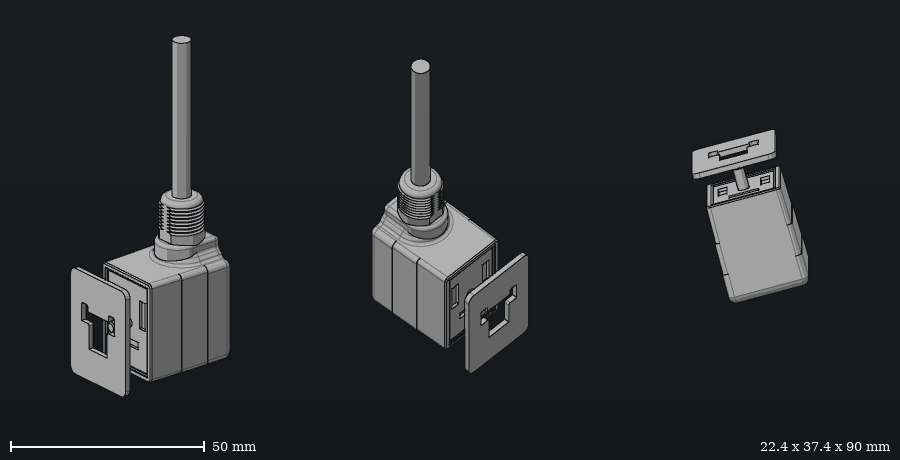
import cadquery as cq

PLATE_WIDTH = 22.4
PLATE_HEIGHT = 30.0
PLATE_FRONT_Y = -28.0
PLATE_THICKNESS = 1.5
PLATE_CORNER_RADIUS = 2.0
WINDOW_HALF_WIDTH = 6.7
WINDOW_ARM_INNER_X = 4.2
WINDOW_STEM_HALF_WIDTH = 3.7
WINDOW_BOTTOM_Z = 9.0
WINDOW_SHOULDER_Z = 16.1
WINDOW_BRIDGE_Z = 19.35
WINDOW_TOP_Z = 21.2
WINDOW_CORNER_RADIUS = 0.5

HOUSING_BOTTOM_Z = 1.1
HOUSING_HEIGHT = 28.0
HOUSING_TOP_Z = HOUSING_BOTTOM_Z + HOUSING_HEIGHT
HOUSING_MIDDLE_Z = HOUSING_BOTTOM_Z + HOUSING_HEIGHT / 2
HOUSING_BACK_Y = 8.5
HOUSING_FRONT_Y = -18.5
SECTION_STEP_Y = -8.5
FRONT_HALF_WIDTH = 10.0
BACK_SECTION = (HOUSING_BACK_Y, 0, 10.8, 10.7, 1.7)
MIDDLE_SECTION = (0, SECTION_STEP_Y, 10.5, 10.4, 1.35)
FRONT_SECTION = (SECTION_STEP_Y, HOUSING_FRONT_Y, 10.2, FRONT_HALF_WIDTH, 1.2)
FRONT_CHAMFER = 0.4
BACK_RADIUS = 2.2

RECESS_MARGIN = 1.35
RECESS_STEP_DEPTH = 0.4
RECESS_LEDGE = 0.5
FLOOR_Y = HOUSING_FRONT_Y + 2 * RECESS_STEP_DEPTH
SLOT_DEPTH = 0.8
SIDE_SLOT_INNER_X = 4.5
SIDE_SLOT_WIDTH = 2.3
SIDE_SLOT_BOTTOM_Z = 14.8
SIDE_SLOT_HEIGHT = 7.8
EARTH_SLOT_WIDTH = 7.9
EARTH_SLOT_BOTTOM_Z = 8.55
EARTH_SLOT_HEIGHT = 2.1

BOSS_TOP_Z = 34.4
BOSS_RADIUS = 6.1
BOSS_CENTRE_Y = -1.3
BOSS_TOP_RADIUS = 1.0
FLARE_WALL_Z = BOSS_TOP_Z - BACK_RADIUS
FLARE_TOP_Z = 31.9
FLARE_MIDDLE_RADIUS = 6.7
FLARE_MIDDLE_Z = 30.8
FLARE_LOWER_RADIUS = 7.5
FLARE_LOWER_Z = 29.7
FLARE_FOOT_RADIUS = 8.4

GLAND_TOP_Z = 46.0
GLAND_TOP_RADIUS = 1.4
THREAD_CREST_RADIUS = 6.0
THREAD_ROOT_RADIUS = 5.6
THREAD_START_Z = 37.0
THREAD_PITCH = 1.0
THREAD_TURNS = 7
GLAND_FLATS = 11.1
CABLE_DIAMETER = 5.0
CABLE_TOP_Z = 90.0

SCREW_Z = 15.1
SCREW_DIAMETER = 3.0
SCREW_TIP_Y = -23.8
SCREW_TIP_CHAMFER = 0.4
HEAD_DIAMETER = 5.5
HEAD_FLAT_DIAMETER = 2.7
HEAD_TOP_Y = 9.4
HEAD_DOME_BULGE = 0.1
HEAD_SLOT_WIDTH = 0.8
HEAD_SLOT_DEPTH = 0.7


def box_between(x0, x1, y0, y1, z0, z1):
    """Box given by its limits along each axis."""
    return cq.Workplane("XY").box(x1 - x0, y1 - y0, z1 - z0, centered=False).translate((x0, y0, z0))


def make_plate():
    """Thin rounded plate with a T-shaped window whose bar has two upturned arms."""
    plate = (
        cq.Workplane("XY")
        .box(PLATE_WIDTH, PLATE_THICKNESS, PLATE_HEIGHT, centered=(True, False, False))
        .translate((0, PLATE_FRONT_Y, 0))
        .edges("|Y")
        .fillet(PLATE_CORNER_RADIUS)
    )
    right_half = [
        (WINDOW_STEM_HALF_WIDTH, WINDOW_BOTTOM_Z),
        (WINDOW_STEM_HALF_WIDTH, WINDOW_SHOULDER_Z),
        (WINDOW_HALF_WIDTH, WINDOW_SHOULDER_Z),
        (WINDOW_HALF_WIDTH, WINDOW_TOP_Z),
        (WINDOW_ARM_INNER_X, WINDOW_TOP_Z),
        (WINDOW_ARM_INNER_X, WINDOW_BRIDGE_Z),
    ]
    left_half = [(-x, z) for x, z in reversed(right_half)]
    window = (
        cq.Workplane("XZ", origin=(0, PLATE_FRONT_Y, 0))
        .polyline(right_half + left_half)
        .close()
        .extrude(-PLATE_THICKNESS)
    )
    window = window.faces(">Z").edges("|Y").fillet(WINDOW_CORNER_RADIUS)
    for side in (-1, 1):
        shoulder_corner = cq.selectors.NearestToPointSelector(
            (side * WINDOW_STEM_HALF_WIDTH, PLATE_FRONT_Y + PLATE_THICKNESS / 2, WINDOW_SHOULDER_Z)
        )
        window = window.edges("|Y").edges(shoulder_corner).fillet(WINDOW_CORNER_RADIUS)
    return plate.cut(window)


def housing_section(back_y, front_y, back_half_width, front_half_width, edge_radius):
    """Rounded block that narrows a little from its back to its front."""

    def outline(half_width):
        return cq.Sketch().rect(2 * half_width, HOUSING_HEIGHT).vertices().fillet(edge_radius)

    return (
        cq.Workplane("XZ", origin=(0, back_y, HOUSING_MIDDLE_Z))
        .placeSketch(
            outline(back_half_width),
            outline(front_half_width).moved(cq.Location(cq.Vector(0, 0, back_y - front_y))),
        )
        .loft(ruled=True)
    )


def make_boss():
    """U-shaped cable boss: round at the front, running straight to the back face."""
    outline = (
        cq.Workplane("XY", origin=(0, 0, HOUSING_MIDDLE_Z))
        .moveTo(-BOSS_RADIUS, HOUSING_BACK_Y)
        .lineTo(-BOSS_RADIUS, BOSS_CENTRE_Y)
        .threePointArc((0, BOSS_CENTRE_Y - BOSS_RADIUS), (BOSS_RADIUS, BOSS_CENTRE_Y))
        .lineTo(BOSS_RADIUS, HOUSING_BACK_Y)
        .close()
    )
    boss = outline.extrude(BOSS_TOP_Z - HOUSING_MIDDLE_Z)
    boss = boss.faces(">Y").edges("|Z or >Z").fillet(BACK_RADIUS)
    return boss.faces(">Z").edges().fillet(BOSS_TOP_RADIUS)


def flare_half_profile():
    """Right half of the foot: tangent concave, convex and concave arcs from boss to housing."""
    return (
        cq.Workplane("XZ")
        .moveTo(0, FLARE_WALL_Z)
        .lineTo(BOSS_RADIUS, FLARE_WALL_Z)
        .lineTo(BOSS_RADIUS, FLARE_TOP_Z)
        .tangentArcPoint((FLARE_MIDDLE_RADIUS, FLARE_MIDDLE_Z), relative=False)
        .tangentArcPoint((FLARE_LOWER_RADIUS, FLARE_LOWER_Z), relative=False)
        .tangentArcPoint((FLARE_FOOT_RADIUS, HOUSING_TOP_Z), relative=False)
        .lineTo(FLARE_FOOT_RADIUS, HOUSING_MIDDLE_Z)
        .lineTo(0, HOUSING_MIDDLE_Z)
        .close()
    )


def make_flare():
    """Foot of the boss: half a turn at the front, straight to the back face."""
    right_side = flare_half_profile().extrude(-HOUSING_BACK_Y)
    right_side = right_side.faces(">Y").edges("not(<X or >X or <Z or >Z)").fillet(BACK_RADIUS)
    turned = flare_half_profile().revolve(360, (0, 0, 0), (0, 1, 0))
    front_half = box_between(
        -FLARE_FOOT_RADIUS, FLARE_FOOT_RADIUS, -FLARE_FOOT_RADIUS, 0, HOUSING_BOTTOM_Z, BOSS_TOP_Z
    )
    return right_side.union(right_side.mirror("YZ")).union(turned.intersect(front_half))


def make_gland():
    """Gland with V-shaped thread grooves, a rounded top and two flats, carrying the cable."""
    profile = [
        (0, HOUSING_MIDDLE_Z),
        (THREAD_CREST_RADIUS, HOUSING_MIDDLE_Z),
        (THREAD_CREST_RADIUS, THREAD_START_Z),
    ]
    for turn in range(THREAD_TURNS):
        groove_z = THREAD_START_Z + (turn + 0.5) * THREAD_PITCH
        profile.append((THREAD_ROOT_RADIUS, groove_z))
        profile.append((THREAD_CREST_RADIUS, groove_z + THREAD_PITCH / 2))
    thread_end_z = THREAD_START_Z + (THREAD_TURNS + 0.5) * THREAD_PITCH
    profile += [(THREAD_ROOT_RADIUS, thread_end_z), (THREAD_ROOT_RADIUS, GLAND_TOP_Z), (0, GLAND_TOP_Z)]
    gland = cq.Workplane("XZ").polyline(profile).close().revolve(360, (0, 0, 0), (0, 1, 0))
    gland = gland.faces(">Z").edges().fillet(GLAND_TOP_RADIUS)
    between_flats = box_between(
        -THREAD_CREST_RADIUS,
        THREAD_CREST_RADIUS,
        -GLAND_FLATS / 2,
        GLAND_FLATS / 2,
        HOUSING_BOTTOM_Z,
        GLAND_TOP_Z,
    )
    cable = (
        cq.Workplane("XY", origin=(0, 0, HOUSING_MIDDLE_Z))
        .circle(CABLE_DIAMETER / 2)
        .extrude(CABLE_TOP_Z - HOUSING_MIDDLE_Z)
    )
    return gland.intersect(between_flats).union(cable)


def make_front_recess():
    """Two-step recess of the front face with two upright contact slots and the earth slot."""
    inner_half_width = FRONT_HALF_WIDTH - RECESS_MARGIN
    recess = None
    for step in (0, 1):
        inset = step * RECESS_LEDGE
        half_width = inner_half_width - inset
        cut = box_between(
            -half_width,
            half_width,
            HOUSING_FRONT_Y,
            HOUSING_FRONT_Y + (step + 1) * RECESS_STEP_DEPTH,
            HOUSING_BOTTOM_Z + RECESS_MARGIN + inset,
            HOUSING_TOP_Z - RECESS_MARGIN - inset,
        )
        recess = cut if recess is None else recess.union(cut)
    slot_back_y = FLOOR_Y + SLOT_DEPTH
    side_slot = box_between(
        SIDE_SLOT_INNER_X,
        SIDE_SLOT_INNER_X + SIDE_SLOT_WIDTH,
        HOUSING_FRONT_Y,
        slot_back_y,
        SIDE_SLOT_BOTTOM_Z,
        SIDE_SLOT_BOTTOM_Z + SIDE_SLOT_HEIGHT,
    )
    earth_slot = box_between(
        -EARTH_SLOT_WIDTH / 2,
        EARTH_SLOT_WIDTH / 2,
        HOUSING_FRONT_Y,
        slot_back_y,
        EARTH_SLOT_BOTTOM_Z,
        EARTH_SLOT_BOTTOM_Z + EARTH_SLOT_HEIGHT,
    )
    return recess.union(side_slot).union(side_slot.mirror("YZ")).union(earth_slot)


def make_screw():
    """Screw along Y with a chamfered tip and a slotted, domed head at the back."""
    shank = (
        cq.Workplane("XZ", origin=(0, SCREW_TIP_Y, SCREW_Z))
        .circle(SCREW_DIAMETER / 2)
        .extrude(SCREW_TIP_Y - HOUSING_BACK_Y)
        .faces("<Y")
        .chamfer(SCREW_TIP_CHAMFER)
    )
    head_radius = HEAD_DIAMETER / 2
    head_flat_radius = HEAD_FLAT_DIAMETER / 2
    dome_point = (
        (head_radius + head_flat_radius) / 2 + HEAD_DOME_BULGE,
        (HOUSING_BACK_Y + HEAD_TOP_Y) / 2 + HEAD_DOME_BULGE,
    )
    head = (
        cq.Workplane("XY", origin=(0, 0, SCREW_Z))
        .moveTo(0, 0)
        .lineTo(head_radius, 0)
        .lineTo(head_radius, HOUSING_BACK_Y)
        .threePointArc(dome_point, (head_flat_radius, HEAD_TOP_Y))
        .lineTo(0, HEAD_TOP_Y)
        .close()
        .revolve(360, (0, 0, 0), (0, 1, 0))
    )
    slot = box_between(
        -HEAD_SLOT_WIDTH / 2,
        HEAD_SLOT_WIDTH / 2,
        HEAD_TOP_Y - HEAD_SLOT_DEPTH,
        HEAD_TOP_Y,
        SCREW_Z - head_radius,
        SCREW_Z + head_radius,
    )
    return shank.union(head.cut(slot))


def make_connector():
    """Housing, boss, gland, cable and screw as one moulded connector."""
    back = housing_section(*BACK_SECTION).faces(">Y").edges().fillet(BACK_RADIUS)
    front = housing_section(*FRONT_SECTION).faces("<Y").edges().chamfer(FRONT_CHAMFER)
    housing = back.union(housing_section(*MIDDLE_SECTION)).union(front)
    housing = housing.union(make_flare()).union(make_boss()).union(make_gland())
    return housing.cut(make_front_recess()).union(make_screw())


plate = make_plate()
connector = make_connector()
result = cq.Compound.makeCompound([plate.val(), *connector.vals()])